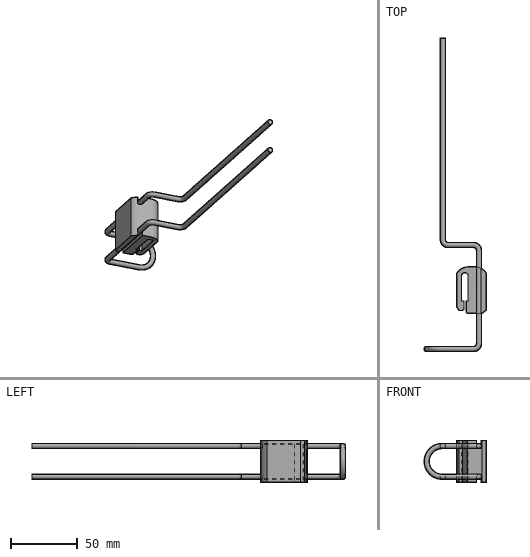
import cadquery as cq
import math

wire_diameter = 4.0
wire_radius = wire_diameter / 2
bend_radius = 4.0
overall_length = 234.5
leg_z = 11.5
leg_x = -5.6
loop_centre_x = -33.18
prong_x = -32.5
front_y = wire_radius
crossbar_y = 79.7

clip_width = 22.3
clip_height = 31.5
clip_front_y = 28.5
clip_back_y = 63.5
back_arc_radius = 10.8
back_arc_drop = 5.0
back_arc_run = math.sqrt(back_arc_radius**2 - (back_arc_radius - back_arc_drop) ** 2)
clip_side_y = clip_back_y - back_arc_drop
outer_chamfer_x = 3.3
outer_chamfer_y = 2.5
wire_mouth_width = 3.3

hook_tip_y = 30.7
hook_outer_chamfer_x = 1.6
hook_outer_chamfer_y = 2.8
hook_inner_chamfer = 1.2
gap_left_x = -16.6
gap_right_x = -15.2
gap_corner_chamfer = 1.0
window_left_x = -18.5
window_right_x = -13.8
window_front_y = 38.0
window_back_y = 58.9
window_corner_radius = 1.9


def arc_midpoint(side):
    """Midpoint of a rounded back corner; side is -1 at the hook and 1 at the flange."""
    half_angle = math.asin(back_arc_run / back_arc_radius) / 2
    corner_x = -clip_width if side < 0 else 0
    centre_x = corner_x - side * back_arc_run
    centre_y = clip_back_y - back_arc_radius
    return (
        centre_x + side * back_arc_radius * math.sin(half_angle),
        centre_y + back_arc_radius * math.cos(half_angle),
    )


def make_wire():
    """Sweep the wire along its upper half and mirror it across Z = 0."""
    corner = bend_radius * (1 - math.sqrt(0.5))
    path = (
        cq.Workplane("XY", origin=(0, 0, leg_z))
        .moveTo(prong_x, overall_length)
        .lineTo(prong_x, crossbar_y + bend_radius)
        .threePointArc(
            (prong_x + corner, crossbar_y + corner),
            (prong_x + bend_radius, crossbar_y),
        )
        .lineTo(leg_x - bend_radius, crossbar_y)
        .threePointArc(
            (leg_x - corner, crossbar_y - corner),
            (leg_x, crossbar_y - bend_radius),
        )
        .lineTo(leg_x, front_y + bend_radius)
        .threePointArc(
            (leg_x - corner, front_y + corner),
            (leg_x - bend_radius, front_y),
        )
        .lineTo(loop_centre_x, front_y)
    )
    upper = (
        cq.Workplane("XZ", origin=(prong_x, overall_length, leg_z))
        .circle(wire_radius)
        .sweep(path)
    )
    loop = (
        cq.Workplane("YZ", origin=(loop_centre_x, front_y, leg_z))
        .circle(wire_radius)
        .revolve(180, (0, -leg_z, 0), (-1, -leg_z, 0))
    )
    return upper.union(upper.mirror("XY")).union(loop)


def make_clip():
    """Extrude the hooked outline, then cut the two mouths the wire snaps into."""
    body = (
        cq.Workplane("XY")
        .moveTo(-outer_chamfer_x, clip_front_y)
        .lineTo(0, clip_front_y + outer_chamfer_y)
        .lineTo(0, clip_side_y)
        .threePointArc(arc_midpoint(1), (-back_arc_run, clip_back_y))
        .lineTo(-clip_width + back_arc_run, clip_back_y)
        .threePointArc(arc_midpoint(-1), (-clip_width, clip_side_y))
        .lineTo(-clip_width, hook_tip_y + hook_outer_chamfer_y)
        .lineTo(-clip_width + hook_outer_chamfer_x, hook_tip_y)
        .lineTo(gap_left_x - hook_inner_chamfer, hook_tip_y)
        .lineTo(gap_left_x, hook_tip_y + hook_inner_chamfer)
        .lineTo(gap_left_x, window_front_y)
        .lineTo(window_left_x, window_front_y)
        .lineTo(window_left_x, window_back_y - window_corner_radius)
        .radiusArc((window_left_x + window_corner_radius, window_back_y), window_corner_radius)
        .lineTo(window_right_x - window_corner_radius, window_back_y)
        .radiusArc((window_right_x, window_back_y - window_corner_radius), window_corner_radius)
        .lineTo(window_right_x, window_front_y)
        .lineTo(gap_right_x, window_front_y)
        .lineTo(gap_right_x, clip_front_y + gap_corner_chamfer)
        .lineTo(gap_right_x + gap_corner_chamfer, clip_front_y)
        .close()
        .extrude(clip_height / 2, both=True)
    )
    clip_depth = clip_back_y - clip_front_y
    mouth_depth = clip_height / 2 - leg_z
    for side in (-1, 1):
        mouth = cq.Workplane("XY").box(wire_mouth_width, clip_depth, mouth_depth).translate(
            (leg_x, clip_front_y + clip_depth / 2, side * (leg_z + mouth_depth / 2))
        )
        body = body.cut(mouth)
    return body


result = make_clip().union(make_wire())